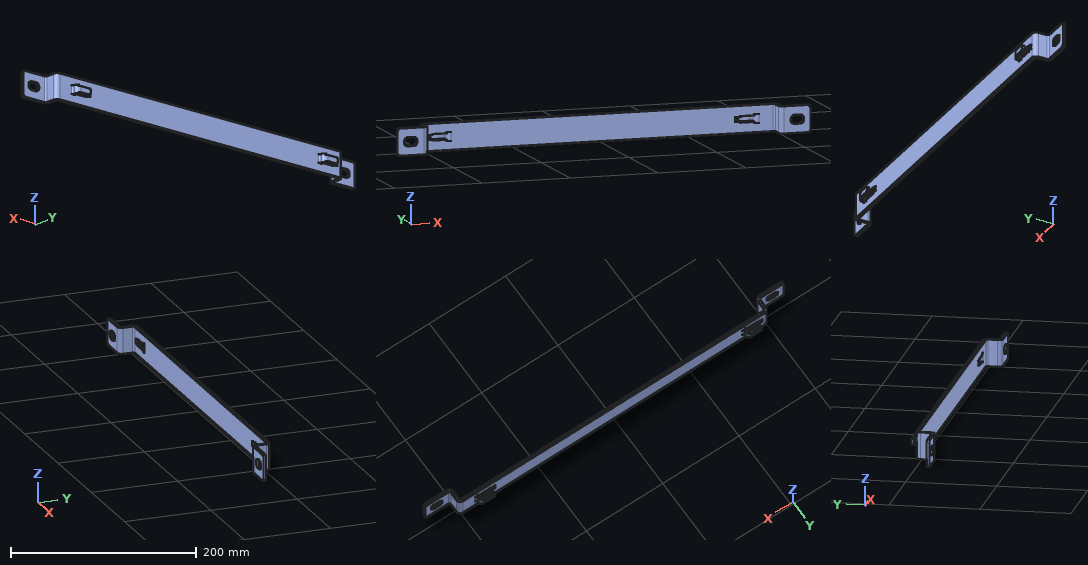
import cadquery as cq

length = 470.0
height = 30.0
thickness = 3.0
strap_bend = 2.0

web_back = 20.5
web_front = web_back - thickness
foot_flat = 30.0
corner_radius = 3.0

slot_length = 15.0
slot_height = 10.0
slot_inset = 15.0

tab_bend = 2.0
tab_root = 66.7
tab_pitch = 350.0
tab_tip = 45.5
tab_back = 28.0
tab_front = tab_back - thickness
root_height = 10.0
tab_height = 7.0
tab_joint = 1.5
tab_tip_radius = 2.0
tip_slot_start = 40.0
tip_slot_height = 5.0


def z_strip(flat_length, front_low, front_high, high_length, strip_height, inner_bend):
    """Z-bent strip: low flat from X = 0, two equal bends, then a high flat."""
    outer_bend = inner_bend + thickness
    wall_left = flat_length + inner_bend
    wall_right = wall_left + thickness
    back_low = front_low + thickness
    back_high = front_high + thickness
    high_start = wall_right + inner_bend
    high_end = high_start + high_length
    return (
        cq.Workplane("XY")
        .workplane(offset=-strip_height / 2)
        .moveTo(0, front_low)
        .lineTo(flat_length, front_low)
        .radiusArc((wall_right, front_low + outer_bend), -outer_bend)
        .lineTo(wall_right, front_high - inner_bend)
        .radiusArc((high_start, front_high), inner_bend)
        .lineTo(high_end, front_high)
        .lineTo(high_end, back_high)
        .lineTo(high_start, back_high)
        .radiusArc((wall_left, back_high - outer_bend), -outer_bend)
        .lineTo(wall_left, back_low + inner_bend)
        .radiusArc((flat_length, back_low), inner_bend)
        .lineTo(0, back_low)
        .close()
        .extrude(strip_height)
    )


def make_strap():
    """Symmetric bent strap with rounded foot corners and mounting slots."""
    bends_length = 2 * strap_bend + thickness
    half_web = length / 2 - foot_flat - bends_length
    left = z_strip(foot_flat, 0, web_front, half_web, height, strap_bend)
    left = left.faces("<X").edges("|Y").fillet(corner_radius)
    slot = (
        cq.Workplane("XZ")
        .center(slot_inset, 0)
        .slot2D(slot_length, slot_height)
        .extrude(-thickness)
    )
    left = left.cut(slot)
    right = left.mirror("YZ").translate((length, 0, 0))
    return left.union(right)


def web_cutter(x_start, x_end, cut_height):
    """Rectangular cut through the web, centred on its height."""
    return (
        cq.Workplane("XY")
        .box(x_end - x_start, thickness, cut_height, centered=(False, False, True))
        .translate((x_start, web_front, 0))
    )


def add_hook(strap, root):
    """Open the stepped window ending at X = root and add its bent tab."""
    shift = root - tab_root
    relief_start = root - tab_bend - thickness
    strap = strap.cut(web_cutter(tip_slot_start + shift, root, tip_slot_height))
    strap = strap.cut(web_cutter(tab_tip + shift, root, tab_height))
    strap = strap.cut(web_cutter(relief_start, root, root_height))

    bends_length = 2 * tab_bend + thickness
    tab_flat = tab_root - tab_tip - bends_length
    tab = z_strip(tab_joint, web_front, tab_front, tab_flat, tab_height, tab_bend)
    tab = tab.faces(">X").edges("|Y").fillet(tab_tip_radius)
    tab = tab.mirror("YZ").translate((root + tab_joint, 0, 0))

    wide_root = z_strip(tab_joint, web_front, tab_front, tab_flat, root_height, tab_bend)
    wide_root = wide_root.mirror("YZ").translate((root + tab_joint, 0, 0))
    root_zone = (
        cq.Workplane("XY")
        .box(root + tab_joint - relief_start, tab_back, root_height, centered=(False, False, True))
        .translate((relief_start, 0, 0))
    )
    return strap.union(tab).union(wide_root.intersect(root_zone))


result = make_strap()
for hook_root in (tab_root, tab_root + tab_pitch):
    result = add_hook(result, hook_root)
result = result.translate((-length / 2, 0, 0))